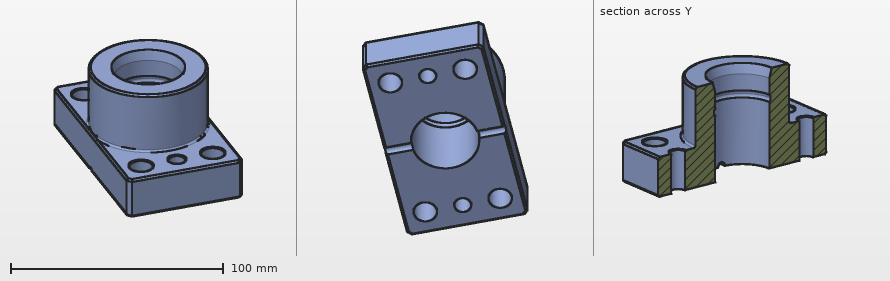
import cadquery as cq
import math

plate_length = 100.0
plate_width = 58.0
plate_height = 20.0
corner_chamfer = 2.0
edge_chamfer = 1.0

boss_diameter = 56.0
total_height = 50.0
boss_top_chamfer = 1.0
boss_root_fillet = 1.0
root_trim_setback = 0.4

bore_diameter = 32.0
lead_in_depth = 5.0
lead_in_angle = 15.0

groove_radius = 2.5
groove_depth = 0.75
groove_height = 35.0

hole_row_x = 38.0
bolt_hole_y = 18.0
bolt_hole_diameter = 11.0
dowel_hole_diameter = 8.0
hole_chamfer = 0.5

notch_radius = 2.0


def make_plate():
    """Rectangular plate with chamfered corners and chamfered top and bottom edges."""
    plate = cq.Workplane("XY").box(
        plate_length, plate_width, plate_height, centered=(True, True, False)
    )
    plate = plate.edges("|Z").chamfer(corner_chamfer)
    return plate.faces("<Z or >Z").edges().chamfer(edge_chamfer)


def make_boss():
    """Cylinder with a chamfered top edge, running down through the plate."""
    boss = cq.Workplane("XY").circle(boss_diameter / 2).extrude(total_height)
    return boss.faces(">Z").edges().chamfer(boss_top_chamfer)


def make_root_fillet():
    """Concave fillet ring around the boss, trimmed along the plate's long top edges.

    The trim leans inward, so the fillet runs out to nothing where the boss touches those edges.
    """
    boss_radius = boss_diameter / 2
    fillet_top = plate_height + boss_root_fillet
    core_radius = boss_radius - 2 * boss_root_fillet
    ring = (
        cq.Workplane("XZ")
        .moveTo(core_radius, plate_height)
        .lineTo(boss_radius + boss_root_fillet, plate_height)
        .radiusArc((boss_radius, fillet_top), boss_root_fillet)
        .lineTo(core_radius, fillet_top)
        .close()
        .revolve(360, (0, 0, 0), (0, 1, 0))
    )
    base_y = plate_width / 2 - edge_chamfer
    top_y = base_y - root_trim_setback
    trim = (
        cq.Workplane("YZ")
        .polyline([
            (-base_y, plate_height),
            (base_y, plate_height),
            (top_y, fillet_top),
            (-top_y, fillet_top),
        ])
        .close()
        .extrude(plate_length / 2, both=True)
    )
    return ring.intersect(trim)


def make_bore_cutter():
    """Through bore, its tapered lead-in and the ring groove."""
    bore_radius = bore_diameter / 2
    mouth_radius = bore_radius + lead_in_depth * math.tan(math.radians(lead_in_angle))
    lead_in_bottom = total_height - lead_in_depth
    bore = (
        cq.Workplane("XZ")
        .lineTo(bore_radius, 0)
        .lineTo(bore_radius, lead_in_bottom)
        .lineTo(mouth_radius, total_height)
        .lineTo(0, total_height)
        .close()
        .revolve(360, (0, 0, 0), (0, 1, 0))
    )
    groove_center = bore_radius + groove_depth - groove_radius
    groove = (
        cq.Workplane("XZ")
        .center(groove_center, groove_height)
        .circle(groove_radius)
        .revolve(360, (-groove_center, 0, 0), (-groove_center, 1, 0))
    )
    return bore.union(groove)


def make_hole_cutter(x, y, diameter):
    """Through hole with a chamfered mouth on the plate's top face."""
    radius = diameter / 2
    profile = (
        cq.Workplane("XZ")
        .lineTo(radius, 0)
        .lineTo(radius, plate_height - hole_chamfer)
        .lineTo(radius + hole_chamfer, plate_height)
        .lineTo(0, plate_height)
        .close()
    )
    return profile.revolve(360, (0, 0, 0), (0, 1, 0)).translate((x, y, 0))


def make_notch_cutter():
    """Cylinder along Y, centred on the plate's bottom face."""
    return cq.Workplane("XZ").circle(notch_radius).extrude(plate_width / 2, both=True)


result = make_plate().union(make_boss()).union(make_root_fillet())
result = result.cut(make_bore_cutter())
for side in (-1, 1):
    x = side * hole_row_x
    result = result.cut(make_hole_cutter(x, 0, dowel_hole_diameter))
    for y in (-bolt_hole_y, bolt_hole_y):
        result = result.cut(make_hole_cutter(x, y, bolt_hole_diameter))
result = result.cut(make_notch_cutter())